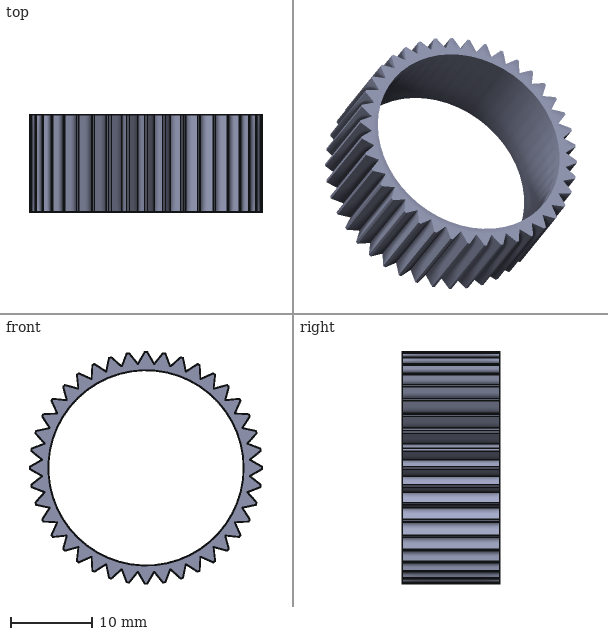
import cadquery as cq
import math

tooth_count = 40
width = 12.0
bore_diameter = 24.0
tip_diameter = 28.55
root_diameter = 25.66
crest_width = 0.315

tooth_pitch = 2 * math.pi / tooth_count
tip_radius = tip_diameter / 2
root_radius = root_diameter / 2


def on_tooth(index, across, height):
    """Profile point of one tooth, given across and along its radial centre line."""
    angle = index * tooth_pitch
    x = height * math.sin(angle) + across * math.cos(angle)
    z = height * math.cos(angle) - across * math.sin(angle)
    return (x, z)


def toothed_outline():
    """Closed outline of straight-flanked teeth with flat crests and V-shaped grooves."""
    root_half_width = root_radius * math.sin(tooth_pitch / 2)
    root_height = root_radius * math.cos(tooth_pitch / 2)
    points = []
    for index in range(tooth_count):
        points.append(on_tooth(index, -root_half_width, root_height))
        points.append(on_tooth(index, -crest_width / 2, tip_radius))
        points.append(on_tooth(index, crest_width / 2, tip_radius))
    return cq.Workplane("XZ").polyline(points).close()


def toothed_body():
    """Solid toothed cylinder along the Y axis."""
    return toothed_outline().extrude(width)


def bore():
    """Plain through bore along the Y axis."""
    return cq.Workplane("XZ").circle(bore_diameter / 2).extrude(width)


result = toothed_body().cut(bore())